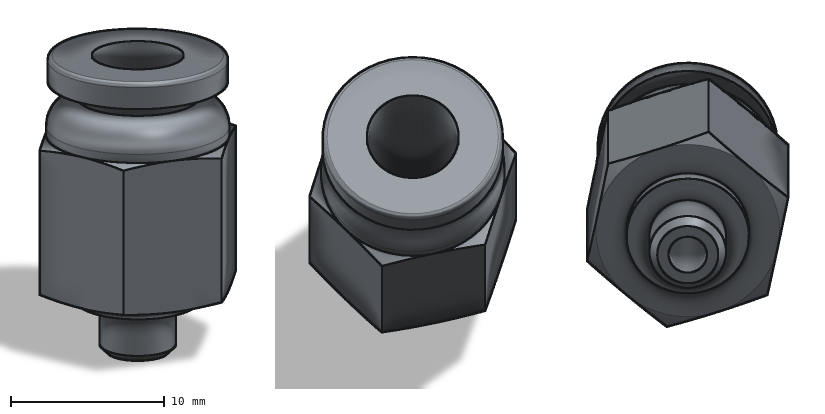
import cadquery as cq
import math

total_height = 20.35
flange_bottom = 3.5
hex_bottom = 4.5
hex_top = 14.9
dome_start = 15.49
flare_start = 18.34
cap_bottom = 18.55

stem_diameter = 5.0
tip_chamfer = 0.5
flange_diameter = 8.0
neck_diameter = 7.98
flare_width = 0.2
cap_diameter = 11.8
cap_fillet = 0.3
hex_flats = 12.0
dome_radius = 2.0
hex_chamfer_angle = 15.0

tube_bore_diameter = 6.0
tube_bore_depth = 13.02
through_bore_diameter = 2.5


def cylinder(diameter, bottom, top):
    return cq.Workplane("XY").workplane(offset=bottom).circle(diameter / 2).extrude(top - bottom)


def chamfered_hexagon():
    """Hexagon with corners on the X axis, its corners turned down at both ends."""
    corner_radius = hex_flats / math.sqrt(3)
    end_radius = hex_flats / 2
    drop = (corner_radius - end_radius) * math.tan(math.radians(hex_chamfer_angle))
    prism = (
        cq.Workplane("XY").workplane(offset=hex_bottom)
        .polygon(6, 2 * corner_radius).extrude(hex_top - hex_bottom)
    )
    turned_envelope = (
        cq.Workplane("XZ")
        .moveTo(0, hex_bottom)
        .lineTo(end_radius, hex_bottom)
        .lineTo(corner_radius, hex_bottom + drop)
        .lineTo(corner_radius, hex_top - drop)
        .lineTo(end_radius, hex_top)
        .lineTo(0, hex_top)
        .close()
        .revolve(360, (0, 0, 0), (0, 1, 0))
    )
    return prism.intersect(turned_envelope)


def domed_collar():
    dome_top = dome_start + dome_radius
    return cylinder(hex_flats, hex_top, dome_top).faces(">Z").edges().fillet(dome_radius)


def flared_neck():
    """Release-sleeve neck that widens just below the cap."""
    neck_radius = neck_diameter / 2
    return (
        cq.Workplane("XZ")
        .moveTo(0, hex_top)
        .lineTo(neck_radius, hex_top)
        .lineTo(neck_radius, flare_start)
        .lineTo(neck_radius + flare_width, cap_bottom)
        .lineTo(0, cap_bottom)
        .close()
        .revolve(360, (0, 0, 0), (0, 1, 0))
    )


stem = cylinder(stem_diameter, 0, flange_bottom).faces("<Z").edges().chamfer(tip_chamfer)
flange = cylinder(flange_diameter, flange_bottom, hex_bottom)
cap = cylinder(cap_diameter, cap_bottom, total_height).faces(">Z").edges().fillet(cap_fillet)

body = stem.union(flange).union(chamfered_hexagon()).union(domed_collar())
body = body.union(flared_neck()).union(cap)

tube_bore = cylinder(tube_bore_diameter, total_height - tube_bore_depth, total_height)
through_bore = cylinder(through_bore_diameter, 0, total_height)
result = body.cut(tube_bore).cut(through_bore)